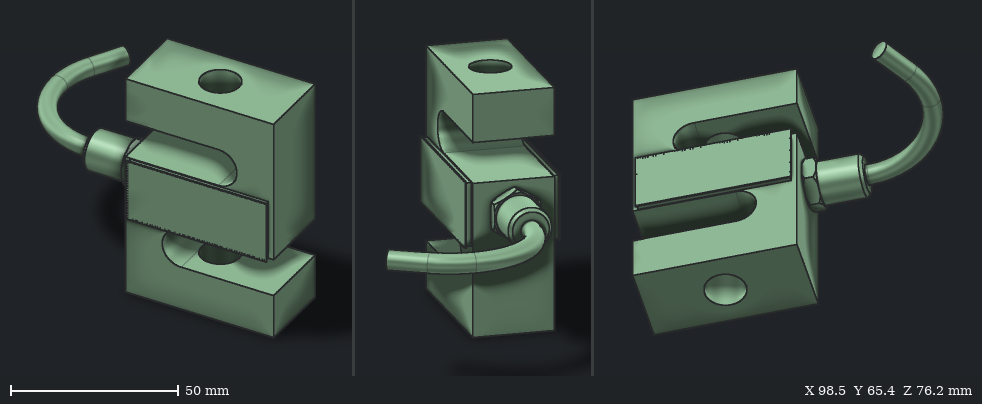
import cadquery as cq
import math


inch = 25.4
block_length = 2 * inch
block_depth = inch
block_height = 3 * inch

slot_height = 12.8
web_height = 20.5
slot_end_gap = 12.6

hole_diameter = 12.8

cover_length = 48.0
cover_height = 20.7
cover_projection = 2.1
plate_thickness = 0.4
pad_inset = 0.4

nut_across_flats = 14.5
nut_length = 4.4
nut_chamfer = 0.9
sleeve_diameter = 13.6
sleeve_length = 14.0
sleeve_chamfer = 1.1

cable_diameter = 6.3
cable_lead = 0.7
bend_radius = inch
second_bend_angle = 30
cable_tail = 12.6


def make_slot(side):
    """Round-ended slot: side +1 is above the web, open to -X; -1 is its half-turn copy."""
    radius = slot_height / 2
    open_x = -side * block_length / 2
    arc_x = side * (block_length / 2 - slot_end_gap - radius)
    middle_z = side * (web_height + slot_height) / 2
    mouth = (
        cq.Workplane("XY")
        .box(abs(arc_x - open_x), block_depth, slot_height)
        .translate(((arc_x + open_x) / 2, 0, middle_z))
    )
    round_end = (
        cq.Workplane("XZ", origin=(arc_x, 0, middle_z))
        .circle(radius)
        .extrude(block_depth / 2, both=True)
    )
    return mouth.union(round_end)


def make_arm_hole(side):
    """Vertical hole from the slot out through the upper (+1) or lower (-1) arm."""
    slot_middle = (web_height + slot_height) / 2
    return (
        cq.Workplane("XY", origin=(0, 0, side * slot_middle))
        .circle(hole_diameter / 2)
        .extrude(side * (block_height / 2 - slot_middle))
    )


def make_cover(side):
    """Cover on the +Y (+1) or -Y (-1) face of the web."""
    pad_projection = cover_projection - plate_thickness
    pad_y = side * (block_depth + pad_projection) / 2
    plate_y = side * (block_depth / 2 + cover_projection - plate_thickness / 2)
    pad = (
        cq.Workplane("XY")
        .box(cover_length - 2 * pad_inset, pad_projection, cover_height - 2 * pad_inset)
        .translate((0, pad_y, 0))
    )
    plate = (
        cq.Workplane("XY")
        .box(cover_length, plate_thickness, cover_height)
        .translate((0, plate_y, 0))
    )
    return pad.union(plate)


def make_gland():
    """Hexagonal nut, corners up and down and chamfered at both ends, with its sleeve."""
    block_face = -block_length / 2
    nut_end = block_face - nut_length
    across_corners = nut_across_flats / math.cos(math.radians(30))
    hexagon = (
        cq.Workplane("YZ", origin=(block_face, 0, 0))
        .transformed(rotate=(0, 0, 90))
        .polygon(6, across_corners)
        .extrude(-nut_length)
    )
    corner_trim = (
        cq.Workplane("YZ", origin=(block_face, 0, 0))
        .circle(across_corners / 2)
        .extrude(-nut_length)
        .edges("%CIRCLE")
        .chamfer(nut_chamfer)
    )
    sleeve = (
        cq.Workplane("YZ", origin=(nut_end, 0, 0))
        .circle(sleeve_diameter / 2)
        .extrude(-sleeve_length)
        .faces("<X")
        .chamfer(sleeve_chamfer)
    )
    return hexagon.intersect(corner_trim).union(sleeve)


def make_cable():
    """Cable in the XY plane: quarter turn towards +Y, a further bend, then a straight tail."""
    start_x = -block_length / 2 - nut_length - sleeve_length
    centre_x = start_x - cable_lead
    centre_y = bend_radius

    def bend_point(angle):
        angle = math.radians(angle)
        return (centre_x + bend_radius * math.cos(angle), centre_y + bend_radius * math.sin(angle))

    bend_end = bend_point(180 - second_bend_angle)
    lean = math.radians(second_bend_angle)
    tail_end = (
        bend_end[0] + cable_tail * math.sin(lean),
        bend_end[1] + cable_tail * math.cos(lean),
    )
    path = (
        cq.Workplane("XY")
        .moveTo(start_x, 0)
        .lineTo(centre_x, 0)
        .threePointArc(bend_point(225), bend_point(180))
        .threePointArc(bend_point(180 - second_bend_angle / 2), bend_end)
        .lineTo(*tail_end)
    )
    return cq.Workplane("YZ", origin=(start_x, 0, 0)).circle(cable_diameter / 2).sweep(path)


result = cq.Workplane("XY").box(block_length, block_depth, block_height)
for side in (1, -1):
    result = result.cut(make_slot(side)).cut(make_arm_hole(side)).union(make_cover(side))
result = result.union(make_gland()).union(make_cable())